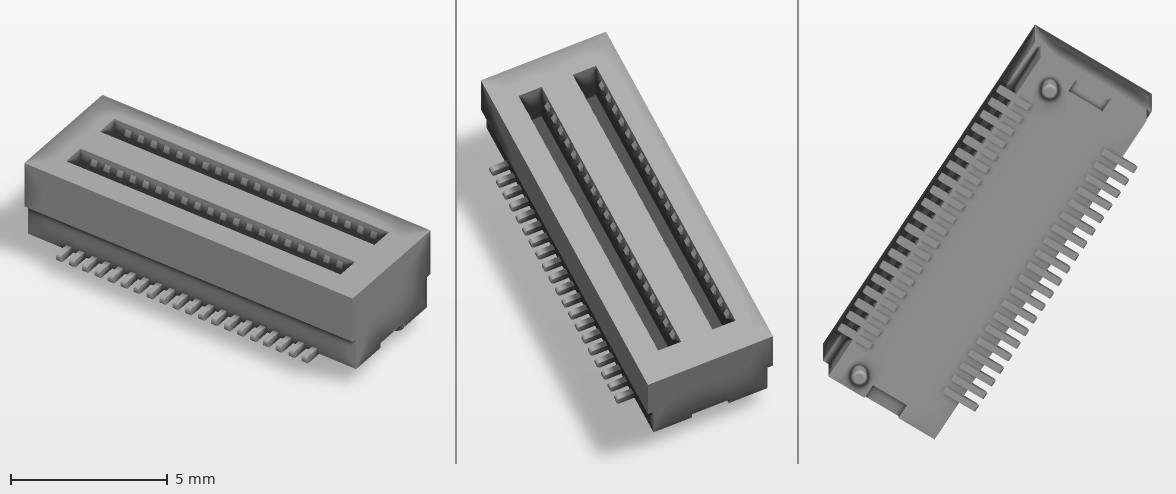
import cadquery as cq

LENGTH = 12.7
CAP_WIDTH = 4.4
BASE_WIDTH = 4.0
BASE_HEIGHT = 1.21
CAP_HEIGHT = 1.73
TOP_Z = BASE_HEIGHT + CAP_HEIGHT

RECESS_WIDTH = 1.28
RECESS_HEIGHT = 0.19
RECESS_DEPTH = 0.51

SLOT_LENGTH = 10.62
SLOT_WIDTH = 0.81
SLOT_OFFSET = 0.95
SLOT_DEPTH = CAP_HEIGHT

POSITIONS = 20
ROW_LENGTH = 9.5
PITCH = ROW_LENGTH / (POSITIONS - 1)
PIN_WIDTH = 0.2

NOSE_REACH = 0.14
NOSE_START_DEPTH = 0.2
NOSE_TIP_DEPTH = 0.42
NOSE_TIP_ROUND = 0.05
NOSE_END_DEPTH = 0.53
NOSE_ROOT = 0.06

LEAD_SPAN = 5.2
LEAD_INNER_Y = 1.35
LEAD_TOP_Z = 0.19
LEAD_DROP = 0.09
LEAD_ROUND = 0.11

PEG_DIAMETER = 0.5
PEG_LENGTH = 0.62
PEG_ROUND = 0.1
PEG_X = 5.7
PEG_Y = 1.25

PIN_XS = [(i - (POSITIONS - 1) / 2) * PITCH for i in range(POSITIONS)]


def block(x_size, y_size, z_size, center_x, center_y, bottom_z):
    """Box centred in X and Y that rises from bottom_z."""
    box = cq.Workplane("XY").box(x_size, y_size, z_size, centered=(True, True, False))
    return box.translate((center_x, center_y, bottom_z))


def make_housing():
    """Stepped block with the two slots and the end recesses cut out."""
    housing = block(LENGTH, BASE_WIDTH, BASE_HEIGHT, 0, 0, 0)
    housing = housing.union(block(LENGTH, CAP_WIDTH, CAP_HEIGHT, 0, 0, BASE_HEIGHT))
    for side in (-1, 1):
        slot_y = side * SLOT_OFFSET
        housing = housing.cut(block(SLOT_LENGTH, SLOT_WIDTH, SLOT_DEPTH, 0, slot_y, TOP_Z - SLOT_DEPTH))
        recess_x = side * (LENGTH - RECESS_DEPTH) / 2
        housing = housing.cut(block(RECESS_DEPTH, RECESS_WIDTH, RECESS_HEIGHT, recess_x, 0, 0))
    return housing


def make_nose(wall_y, inward):
    """Contact nose at X = 0 on the slot wall at wall_y, pointing along inward (+1 or -1 in Y)."""
    root_y = wall_y - inward * NOSE_ROOT
    tip_y = wall_y + inward * NOSE_REACH
    outline = [
        (root_y, TOP_Z - NOSE_START_DEPTH),
        (wall_y, TOP_Z - NOSE_START_DEPTH),
        (tip_y, TOP_Z - NOSE_TIP_DEPTH),
        (wall_y, TOP_Z - NOSE_END_DEPTH),
        (root_y, TOP_Z - NOSE_END_DEPTH),
    ]
    nose = cq.Workplane("YZ").polyline(outline).close().extrude(PIN_WIDTH / 2, both=True)
    tip_edge = ">Y" if inward > 0 else "<Y"
    return nose.edges(tip_edge).fillet(NOSE_TIP_ROUND)


def make_lead(side):
    """Solder lead at X = 0 on the given side (+1 or -1 in Y), rounded at its free edges."""
    outer_y = LEAD_SPAN / 2
    lead = block(
        PIN_WIDTH,
        outer_y - LEAD_INNER_Y,
        LEAD_TOP_Z + LEAD_DROP,
        0,
        side * (outer_y + LEAD_INNER_Y) / 2,
        -LEAD_DROP,
    )
    tip_face = ">Y" if side > 0 else "<Y"
    inner_face = "<Y" if side > 0 else ">Y"
    lead = lead.faces(tip_face).edges("|X").fillet(LEAD_ROUND)
    return lead.faces(inner_face).edges("<Z").fillet(LEAD_ROUND)


def make_peg(x):
    """Locating peg at the given X with a rounded lower rim."""
    peg = cq.Workplane("XY").circle(PEG_DIAMETER / 2).extrude(-PEG_LENGTH)
    return peg.faces("<Z").edges().fillet(PEG_ROUND).translate((x, PEG_Y, 0))


def repeat_along_x(pin):
    """Copies of one pin at every contact position."""
    return [pin.translate((x, 0, 0)).val() for x in PIN_XS]


pins = []
for side in (-1, 1):
    pins += repeat_along_x(make_lead(side))
    for slot_y in (-SLOT_OFFSET, SLOT_OFFSET):
        pins += repeat_along_x(make_nose(slot_y + side * SLOT_WIDTH / 2, -side))

pegs = [make_peg(x).val() for x in (-PEG_X, PEG_X)]

result = cq.Workplane(make_housing().val().fuse(*pins, *pegs))